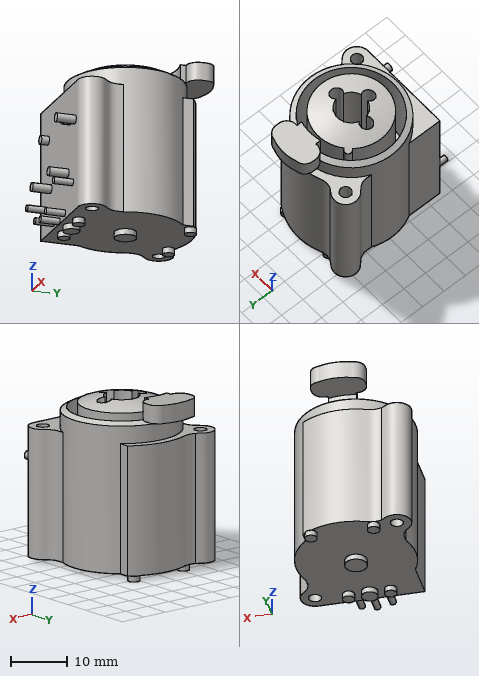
import cadquery as cq
import math


HOUSING_HEIGHT = 23.9
HOUSING_FRONT = -12.5
HOUSING_LEFT = -9.53
REAR_RADIUS = 12.48
REAR_RIGHT = 7.2
EAR_OFFSET = 9.9
EAR_RADIUS = 2.63
EAR_HOLE_DIAMETER = 2.3
EAR_SIDE = 10.12
EAR_FILLET = 2.8
EAR_REAR_SLOPE = 34.0
EAR_REAR_EDGE_LENGTH = 1.15
REAR_VALLEY = (-6.1, 11.25)
REAR_VALLEY_END_X = -4.75

BARREL_RADIUS = 21.8 / 2
RECESS_RADIUS = 19.5 / 2
BARREL_TOP = 27.75
RIM_CHAMFER_HEIGHT = 0.62
RECESS_DEPTH = 14.78
RECESS_FLOOR = BARREL_TOP - RECESS_DEPTH

CORE_RADIUS = 7.85
CORE_EDGE_Z = 28.68
DOME_TOP = 30.1
KEY_RADIUS = 0.8
KEY_OFFSET = 5.65

SOCKET_RADIUS = 3.22
LOBE_RADIUS = 1.28
LOBE_OFFSET = 4.07

TAB_TOP = 31.8
TAB_THICKNESS = 3.35
TAB_HALF_WIDTH = 5.0
TAB_CORNER_RADIUS = 2.15
TAB_SIDE_LOW = 12.65
TAB_SIDE_HIGH = 13.37
TAB_REAR = 16.03
TAB_CROWN_HALF_WIDTH = 3.05
NECK_HALF_WIDTH = 2.55
NECK_OUTER_RADIUS = 10.3

PIN_LENGTH = 3.55
SHORT_PIN_LENGTH = 1.45
THICK_PIN_DIAMETER = 1.6
THIN_PIN_DIAMETER = 1.2
SHORT_PINS = [(-5.7, 17.6), (5.7, 17.6)]
THICK_PINS = [(8.2, 16.95), (-4.45, 8.08), (4.45, 8.08)]
THIN_PINS = [(-6.95, 4.93), (6.95, 5.55), (-2.83, 1.15), (2.83, 1.15), (0, 0.53)]

FOOT_HEIGHT = 1.05
FOOT_ROW_Y = 10.18
SMALL_FEET = [
    (-5.7, FOOT_ROW_Y),
    (5.7, FOOT_ROW_Y),
    (-3.85, -FOOT_ROW_Y),
    (3.85, -FOOT_ROW_Y),
]
FEET = [
    (4.0, [(0, 0)]),
    (3.0, [(0, -FOOT_ROW_Y)]),
    (2.2, SMALL_FEET),
]


def cylinder(radius, bottom, top, centres=((0, 0),)):
    """Vertical cylinders between two heights."""
    plane = cq.Workplane("XY").workplane(offset=bottom)
    return plane.pushPoints(list(centres)).circle(radius).extrude(top - bottom)


def polar(centre, radius, degrees):
    """Point on a circle at an angle measured from +X."""
    angle = math.radians(degrees)
    return (centre[0] + radius * math.cos(angle), centre[1] + radius * math.sin(angle))


def opposite(point):
    """Point turned half a revolution about the socket axis."""
    return (-point[0], -point[1])


def make_housing():
    rear_ear = (-EAR_OFFSET, EAR_OFFSET)
    front_ear = opposite(rear_ear)

    side_edge_start = polar(rear_ear, EAR_RADIUS, 225)
    edge_sum = side_edge_start[0] + side_edge_start[1]
    fillet_start_x = -EAR_SIDE - EAR_FILLET * (1 - math.cos(math.radians(45)))
    fillet_start = (fillet_start_x, edge_sum - fillet_start_x)
    fillet_centre = (-EAR_SIDE - EAR_FILLET, fillet_start[1] - EAR_FILLET * math.sin(math.radians(45)))
    fillet_middle = polar(fillet_centre, EAR_FILLET, 22.5)
    fillet_end = (-EAR_SIDE, fillet_centre[1])

    rear_edge_start = polar(rear_ear, EAR_RADIUS, 90 - EAR_REAR_SLOPE)
    rear_edge_end = polar(rear_edge_start, EAR_REAR_EDGE_LENGTH, -EAR_REAR_SLOPE)
    valley_end = (REAR_VALLEY_END_X, math.sqrt(REAR_RADIUS**2 - REAR_VALLEY_END_X**2))
    rear_right = (REAR_RIGHT, math.sqrt(REAR_RADIUS**2 - REAR_RIGHT**2))

    outline = (
        cq.Workplane("XY")
        .moveTo(HOUSING_LEFT, HOUSING_FRONT)
        .lineTo(front_ear[0], HOUSING_FRONT)
        .threePointArc(polar(front_ear, EAR_RADIUS, -20), opposite(side_edge_start))
        .lineTo(*opposite(fillet_start))
        .threePointArc(opposite(fillet_middle), opposite(fillet_end))
        .lineTo(EAR_SIDE, 0)
        .lineTo(REAR_RIGHT, 0)
        .lineTo(*rear_right)
        .threePointArc((0, REAR_RADIUS), valley_end)
        .threePointArc(REAR_VALLEY, rear_edge_end)
        .lineTo(*rear_edge_start)
        .threePointArc(polar(rear_ear, EAR_RADIUS, 135), side_edge_start)
        .lineTo(*fillet_start)
        .threePointArc(fillet_middle, fillet_end)
        .lineTo(-EAR_SIDE, 0)
        .lineTo(HOUSING_LEFT, 0)
        .close()
    )
    return outline.extrude(HOUSING_HEIGHT)


def make_barrel():
    """Full-height barrel whose rim slopes down from the recess edge."""
    profile = [
        (0, 0),
        (BARREL_RADIUS, 0),
        (BARREL_RADIUS, BARREL_TOP - RIM_CHAMFER_HEIGHT),
        (RECESS_RADIUS, BARREL_TOP),
        (0, BARREL_TOP),
    ]
    return cq.Workplane("XZ").polyline(profile).close().revolve(360, (0, 0), (0, 1))


def make_core():
    """Domed core with a small round key on its side."""
    dome_rise = DOME_TOP - CORE_EDGE_Z
    dome_radius = (CORE_RADIUS**2 + dome_rise**2) / (2 * dome_rise)
    dome = cq.Workplane("XY").sphere(dome_radius).translate((0, 0, DOME_TOP - dome_radius))
    core = cylinder(CORE_RADIUS, RECESS_FLOOR, DOME_TOP)
    key = cylinder(KEY_RADIUS, RECESS_FLOOR, DOME_TOP, [(-KEY_OFFSET, KEY_OFFSET)])
    return core.union(key).intersect(dome)


def make_socket():
    lobes = [(-LOBE_OFFSET, 0), (LOBE_OFFSET, 0), (0, -LOBE_OFFSET)]
    socket = cylinder(SOCKET_RADIUS, RECESS_FLOOR, DOME_TOP)
    for lobe in lobes:
        socket = socket.union(cylinder(LOBE_RADIUS, RECESS_FLOOR, DOME_TOP, [lobe]))
    return socket


def make_release_tab():
    corner_x = TAB_HALF_WIDTH - TAB_CORNER_RADIUS
    crown_x = TAB_CROWN_HALF_WIDTH
    crown_y = TAB_SIDE_HIGH + math.sqrt(TAB_CORNER_RADIUS**2 - (crown_x - corner_x) ** 2)
    upper_right = polar((corner_x, TAB_SIDE_HIGH), TAB_CORNER_RADIUS, 45)
    lower_right = polar((corner_x, TAB_SIDE_LOW), TAB_CORNER_RADIUS, -45)
    base_y = TAB_SIDE_LOW - TAB_CORNER_RADIUS
    neck_inner_y = math.sqrt(RECESS_RADIUS**2 - NECK_HALF_WIDTH**2)

    tab = (
        cq.Workplane("XY")
        .workplane(offset=TAB_TOP - TAB_THICKNESS)
        .moveTo(-NECK_HALF_WIDTH, neck_inner_y)
        .threePointArc((0, RECESS_RADIUS), (NECK_HALF_WIDTH, neck_inner_y))
        .lineTo(NECK_HALF_WIDTH, base_y)
        .lineTo(corner_x, base_y)
        .threePointArc(lower_right, (TAB_HALF_WIDTH, TAB_SIDE_LOW))
        .lineTo(TAB_HALF_WIDTH, TAB_SIDE_HIGH)
        .threePointArc(upper_right, (crown_x, crown_y))
        .threePointArc((0, TAB_REAR), (-crown_x, crown_y))
        .threePointArc((-upper_right[0], upper_right[1]), (-TAB_HALF_WIDTH, TAB_SIDE_HIGH))
        .lineTo(-TAB_HALF_WIDTH, TAB_SIDE_LOW)
        .threePointArc((-lower_right[0], lower_right[1]), (-corner_x, base_y))
        .lineTo(-NECK_HALF_WIDTH, base_y)
        .close()
        .extrude(TAB_THICKNESS)
    )

    ring = cylinder(NECK_OUTER_RADIUS, HOUSING_HEIGHT, TAB_TOP)
    ring = ring.cut(cylinder(RECESS_RADIUS, HOUSING_HEIGHT, TAB_TOP))
    segment = cq.Workplane("XY").box(
        2 * NECK_HALF_WIDTH, BARREL_RADIUS, TAB_TOP, centered=(True, False, False)
    )
    return tab.union(ring.intersect(segment))


def make_pins(diameter, length, centres):
    """Pins that stick out of the front face toward -Y."""
    face = cq.Workplane("XZ", origin=(0, HOUSING_FRONT, 0))
    return face.pushPoints(centres).circle(diameter / 2).extrude(length)


body = make_housing().union(make_barrel())
body = body.cut(cylinder(RECESS_RADIUS, RECESS_FLOOR, BARREL_TOP))
body = body.union(make_core()).cut(make_socket())
body = body.union(make_release_tab())

ear_centres = [(-EAR_OFFSET, EAR_OFFSET), (EAR_OFFSET, -EAR_OFFSET)]
body = body.cut(cylinder(EAR_HOLE_DIAMETER / 2, 0, HOUSING_HEIGHT, ear_centres))

body = body.union(make_pins(THICK_PIN_DIAMETER, SHORT_PIN_LENGTH, SHORT_PINS))
body = body.union(make_pins(THICK_PIN_DIAMETER, PIN_LENGTH, THICK_PINS))
body = body.union(make_pins(THIN_PIN_DIAMETER, PIN_LENGTH, THIN_PINS))

for foot_diameter, foot_centres in FEET:
    body = body.union(cylinder(foot_diameter / 2, -FOOT_HEIGHT, 0, foot_centres))

result = body